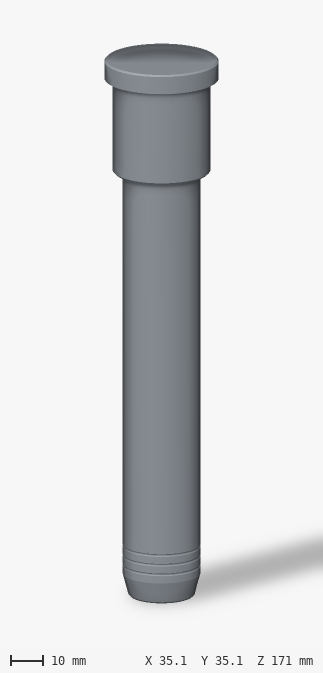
import cadquery as cq

total_length = 171.0

flange_radius = 17.53
flange_thickness = 6.0
flange_chamfer = 0.5

collar_radius = 15.0
collar_bottom = 135.1
collar_chamfer = 0.7

undercut_radius = 0.43

shaft_radius = 12.0
neck_radius = 11.3
neck_length = 0.9

groove_count = 3
groove_pitch = 3.0
lowest_groove_height = 9.7
groove_radius = 0.43

nose_height = 7.0
nose_end_radius = 10.3
tip_chamfer = 0.5


def cylinder(radius, bottom, top):
    """Solid cylinder on the Z axis between two heights."""
    return cq.Workplane("XY").workplane(offset=bottom).circle(radius).extrude(top - bottom)


def ring_groove(radius, groove_radius, height):
    """Torus that cuts a half-round groove into a cylinder of the given radius."""
    return (
        cq.Workplane("XZ")
        .center(radius, height)
        .circle(groove_radius)
        .revolve(360, (-radius, 0, 0), (-radius, 1, 0))
    )


def make_nose():
    """Straight taper that ends in a small chamfer at the tip."""
    return (
        cq.Workplane("XZ")
        .moveTo(0, 0)
        .lineTo(nose_end_radius - tip_chamfer, 0)
        .lineTo(nose_end_radius, tip_chamfer)
        .lineTo(shaft_radius, nose_height)
        .lineTo(0, nose_height)
        .close()
        .revolve(360, (0, 0, 0), (0, 1, 0))
    )


flange_bottom = total_length - flange_thickness
neck_bottom = collar_bottom - neck_length

flange = cylinder(flange_radius, flange_bottom, total_length).faces(">Z").chamfer(flange_chamfer)
collar = cylinder(collar_radius, collar_bottom, flange_bottom).faces("<Z").chamfer(collar_chamfer)
neck = cylinder(neck_radius, neck_bottom, collar_bottom)
shaft = cylinder(shaft_radius, nose_height, neck_bottom)

collar = collar.cut(
    ring_groove(collar_radius, undercut_radius, flange_bottom - undercut_radius)
)

for index in range(groove_count):
    groove_height = lowest_groove_height + index * groove_pitch
    shaft = shaft.cut(ring_groove(shaft_radius, groove_radius, groove_height))

result = make_nose().union(shaft).union(neck).union(collar).union(flange)